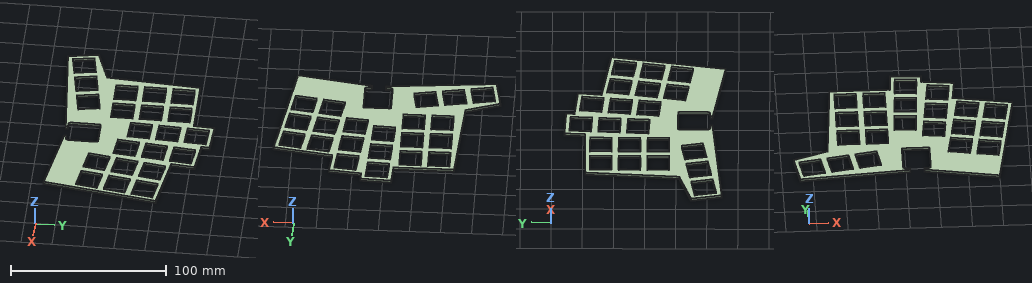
import cadquery as cq
import math

LENGTH = 143.3
WIDTH = 103.5
THICKNESS = 2.0

KEY_SIZE = 13.9
KEY_PITCH = 18.5
KEY_TO_RIM = 10.0
ROWS = 3
OUTER_COLUMNS = 2
INNER_COLUMNS = 2
THUMB_KEYS = 3

OUTER_TILT = 0
MIDDLE_TILT = -3
RING_TILT = -6
INNER_TILT = -9
THUMB_TILT = 10

NOTCH_CENTER_X = 7.3
NOTCH_WIDTH = 17.8
NOTCH_TOP_Y = -21.4
NOTCH_HEIGHT = 20.8
NOTCH_TOP_RADIUS = 1.0
NOTCH_BOTTOM_RADIUS = 2.0
MOUTH_WIDTH = 9.0
LIP_THICKNESS = 1.5

WAIST_CORNER = (-49.5, -22.2)


def offset(center, tilt, across, up):
    """Point reached from center by moving across and up in axes turned by tilt."""
    c = math.cos(math.radians(tilt))
    s = math.sin(math.radians(tilt))
    return (center[0] + across * c - up * s, center[1] + across * s + up * c)


def corner_reach(tilt):
    """Distance along X or Y from a key centre to the extreme corner of its rim."""
    angle = math.radians(abs(tilt))
    return KEY_TO_RIM * (math.cos(angle) + math.sin(angle))


def side_meets_top(side_center, side_tilt, side, top_center, top_tilt):
    """Where the left (side=-1) or right (side=1) rim of one group meets the top rim of another."""
    start = offset(side_center, side_tilt, side * KEY_TO_RIM, 0)
    target = offset(top_center, top_tilt, 0, KEY_TO_RIM)
    normal = math.radians(top_tilt + 90)
    gap = (target[0] - start[0]) * math.cos(normal) + (target[1] - start[1]) * math.sin(normal)
    climb = gap / math.cos(math.radians(side_tilt - top_tilt))
    return offset(start, side_tilt, 0, climb)


OUTER_KEY = (-35.4, 28.2)
MIDDLE_KEY = (3.7, WIDTH / 2 - corner_reach(MIDDLE_TILT))
RING_KEY = (24.0, 34.3)
INNER_KEY = (LENGTH / 2 - corner_reach(INNER_TILT), 13.6)
THUMB_KEY = (-LENGTH / 2 + corner_reach(THUMB_TILT), -38.1)


def key_grid(first, tilt, across_step, columns, rows):
    """Centres of a tilted grid of keys running across and down from its first key."""
    return [
        offset(first, tilt, column * across_step, -row * KEY_PITCH)
        for column in range(columns)
        for row in range(rows)
    ]


def make_plate():
    right_edge = offset(INNER_KEY, INNER_TILT, KEY_TO_RIM, 0)
    right_drop = (right_edge[1] + WIDTH / 2) / math.cos(math.radians(INNER_TILT))
    lower_right = offset(right_edge, INNER_TILT, 0, -right_drop)
    lip_bottom_y = NOTCH_TOP_Y - NOTCH_HEIGHT - LIP_THICKNESS
    rim = [
        (OUTER_KEY[0] - KEY_TO_RIM, OUTER_KEY[1] + KEY_TO_RIM),
        side_meets_top(MIDDLE_KEY, MIDDLE_TILT, -1, OUTER_KEY, OUTER_TILT),
        offset(MIDDLE_KEY, MIDDLE_TILT, -KEY_TO_RIM, KEY_TO_RIM),
        offset(MIDDLE_KEY, MIDDLE_TILT, KEY_TO_RIM, KEY_TO_RIM),
        side_meets_top(MIDDLE_KEY, MIDDLE_TILT, 1, RING_KEY, RING_TILT),
        offset(RING_KEY, RING_TILT, KEY_TO_RIM, KEY_TO_RIM),
        side_meets_top(RING_KEY, RING_TILT, 1, INNER_KEY, INNER_TILT),
        offset(INNER_KEY, INNER_TILT, KEY_TO_RIM, KEY_TO_RIM),
        lower_right,
        (NOTCH_CENTER_X + MOUTH_WIDTH / 2, lip_bottom_y),
        (NOTCH_CENTER_X - MOUTH_WIDTH / 2, lip_bottom_y),
        offset(THUMB_KEY, THUMB_TILT, -KEY_TO_RIM, -KEY_TO_RIM),
        offset(THUMB_KEY, THUMB_TILT, -KEY_TO_RIM, KEY_TO_RIM),
        WAIST_CORNER,
    ]
    return cq.Workplane("XY").polyline(rim).close().extrude(THICKNESS)


def make_key_openings(centers, tilt):
    opening = cq.Workplane("XY").rect(KEY_SIZE, KEY_SIZE).extrude(THICKNESS)
    opening = opening.rotate((0, 0, 0), (0, 0, 1), tilt)
    return cq.Workplane("XY").pushPoints(centers).eachpoint(opening.val(), combine=False)


def make_notch():
    body = (
        cq.Workplane("XY")
        .center(NOTCH_CENTER_X, NOTCH_TOP_Y - NOTCH_HEIGHT / 2)
        .rect(NOTCH_WIDTH, NOTCH_HEIGHT)
        .extrude(THICKNESS)
        .edges("|Z and >Y")
        .fillet(NOTCH_TOP_RADIUS)
        .edges("|Z and <Y")
        .fillet(NOTCH_BOTTOM_RADIUS)
    )
    mouth_depth = NOTCH_HEIGHT + LIP_THICKNESS
    mouth = (
        cq.Workplane("XY")
        .center(NOTCH_CENTER_X, NOTCH_TOP_Y - mouth_depth / 2)
        .rect(MOUTH_WIDTH, mouth_depth)
        .extrude(THICKNESS)
    )
    return body.union(mouth)


KEY_GROUPS = [
    (OUTER_TILT, OUTER_KEY, KEY_PITCH, OUTER_COLUMNS, ROWS),
    (MIDDLE_TILT, MIDDLE_KEY, KEY_PITCH, 1, ROWS),
    (RING_TILT, RING_KEY, KEY_PITCH, 1, ROWS),
    (INNER_TILT, INNER_KEY, -KEY_PITCH, INNER_COLUMNS, ROWS),
    (THUMB_TILT, THUMB_KEY, KEY_PITCH, THUMB_KEYS, 1),
]

result = make_plate().cut(make_notch())
for tilt, first_key, across_step, columns, rows in KEY_GROUPS:
    centers = key_grid(first_key, tilt, across_step, columns, rows)
    result = result.cut(make_key_openings(centers, tilt))